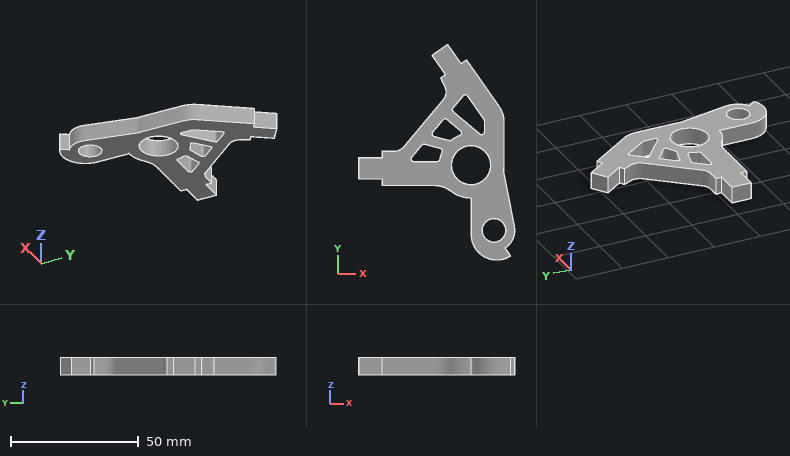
import cadquery as cq
import math

THICKNESS = 7.0

HUB_RADIUS = 12.9
BORE_RADIUS = 7.6

ARM_END = 44.05
ARM_SHOULDER = 34.8
LEFT_ARM_CENTER_Y = -1.3
LEFT_ARM_WIDTH = 13.5
LEFT_TAB_WIDTH = 8.45

UPPER_ARM_ANGLE = 125.0
UPPER_SIDE_ANGLE = UPPER_ARM_ANGLE - 90
UPPER_ARM_INNER = 9.8
UPPER_ARM_OUTER = 22.2
UPPER_TAB_INNER = 12.1
UPPER_TAB_OUTER = 19.6
UPPER_INNER_EDGE_ANGLE = 25.0

WEB_NORMAL_ANGLE = 140.0
WEB_OFFSET = 24.9
WEB_RIM = 5.1

PIVOT = (9.0, -25.5)
PIVOT_HOLE_RADIUS = 4.6
PIVOT_RIM_RADIUS = 8.2
HOOK_RADIUS = 10.0
HOOK_CENTER = (HOOK_RADIUS, -27.2)
HOOK_END_ANGLE = -57.0
HOOK_END_RADIUS = 12.0
LOBE_EDGE_START_ANGLE = -10.0

WEB_FILLET = 4.65
UPPER_BEND_FILLET = 10.0
LEFT_HUB_FILLET = 10.0
LOBE_EDGE_FILLET = 5.1

WINDOW_HUB_RADIUS = 12.5
WINDOW_FILLET = 1.0
WINDOW_BOTTOM = 1.4
WINDOW_RIGHT = 5.2
WINDOW_ARM_OFFSET = 14.4
RIB_WIDTH = 4.0
LOWER_RIB_NORMAL_ANGLE = 75.0
LOWER_RIB_OFFSET = 3.17
UPPER_RIB_NORMAL_ANGLE = 50.0
UPPER_RIB_OFFSET = 7.6


def polar(radius, degrees, center=(0, 0)):
    """Point at a radius and angle from a center."""
    angle = math.radians(degrees)
    return (center[0] + radius * math.cos(angle), center[1] + radius * math.sin(angle))


def cross_point(first, second):
    """Meeting point of two lines, each given as (normal angle, distance from origin)."""
    (a, p), (b, q) = first, second
    a, b = math.radians(a), math.radians(b)
    det = math.sin(b - a)
    return (
        (p * math.sin(b) - q * math.sin(a)) / det,
        (q * math.cos(a) - p * math.cos(b)) / det,
    )


def line_through(point, normal_angle):
    """Line with the given normal angle passing through a point."""
    angle = math.radians(normal_angle)
    return (normal_angle, point[0] * math.cos(angle) + point[1] * math.sin(angle))


def upper_arm_point(distance, side):
    """Point at a distance along the upper arm and an offset to its outer side."""
    return polar(side, UPPER_SIDE_ANGLE, polar(distance, UPPER_ARM_ANGLE))


left_top = LEFT_ARM_CENTER_Y + LEFT_ARM_WIDTH / 2
left_bottom = LEFT_ARM_CENTER_Y - LEFT_ARM_WIDTH / 2
tab_top = LEFT_ARM_CENTER_Y + LEFT_TAB_WIDTH / 2
tab_bottom = LEFT_ARM_CENTER_Y - LEFT_TAB_WIDTH / 2

web_line = (WEB_NORMAL_ANGLE, WEB_OFFSET)
upper_inner_corner = upper_arm_point(ARM_SHOULDER, UPPER_ARM_INNER)
web_left = cross_point(web_line, (90, left_top))
web_upper = cross_point(web_line, line_through(upper_inner_corner, UPPER_INNER_EDGE_ANGLE))
upper_bend = cross_point((UPPER_SIDE_ANGLE, UPPER_ARM_OUTER), (0, HUB_RADIUS))
left_hub_angle = math.degrees(math.asin(left_bottom / HUB_RADIUS))
left_hub = polar(HUB_RADIUS, 180 - left_hub_angle)
lobe_edge_start = polar(HUB_RADIUS, LOBE_EDGE_START_ANGLE)

dx = lobe_edge_start[0] - PIVOT[0]
dy = lobe_edge_start[1] - PIVOT[1]
rim_start_angle = math.degrees(math.atan2(dy, dx) - math.acos(PIVOT_RIM_RADIUS / math.hypot(dx, dy)))
rim_middle_angle = (rim_start_angle + HOOK_END_ANGLE) / 2


def build_plate():
    outline = (
        cq.Workplane("XY")
        .moveTo(-ARM_END, tab_bottom)
        .lineTo(-ARM_END, tab_top)
        .lineTo(-ARM_SHOULDER, tab_top)
        .lineTo(-ARM_SHOULDER, left_top)
        .lineTo(*web_left)
        .lineTo(*web_upper)
        .lineTo(*upper_inner_corner)
        .lineTo(*upper_arm_point(ARM_SHOULDER, UPPER_TAB_INNER))
        .lineTo(*upper_arm_point(ARM_END, UPPER_TAB_INNER))
        .lineTo(*upper_arm_point(ARM_END, UPPER_TAB_OUTER))
        .lineTo(*upper_arm_point(ARM_SHOULDER, UPPER_TAB_OUTER))
        .lineTo(*upper_arm_point(ARM_SHOULDER, UPPER_ARM_OUTER))
        .lineTo(*upper_bend)
        .lineTo(HUB_RADIUS, 0)
        .threePointArc(polar(HUB_RADIUS, LOBE_EDGE_START_ANGLE / 2), lobe_edge_start)
        .lineTo(*polar(PIVOT_RIM_RADIUS, rim_start_angle, PIVOT))
        .threePointArc(
            polar(PIVOT_RIM_RADIUS, rim_middle_angle, PIVOT),
            polar(PIVOT_RIM_RADIUS, HOOK_END_ANGLE, PIVOT),
        )
        .lineTo(*polar(HOOK_END_RADIUS, HOOK_END_ANGLE, PIVOT))
        .threePointArc(polar(HOOK_RADIUS, -90, HOOK_CENTER), polar(HOOK_RADIUS, 180, HOOK_CENTER))
        .lineTo(0, -HUB_RADIUS)
        .threePointArc(polar(HUB_RADIUS, (180 - left_hub_angle + 270) / 2), left_hub)
        .lineTo(-ARM_SHOULDER, left_bottom)
        .lineTo(-ARM_SHOULDER, tab_bottom)
        .close()
    )
    plate = outline.extrude(THICKNESS)
    rounded_corners = [
        (web_left, WEB_FILLET),
        (web_upper, WEB_FILLET),
        (upper_bend, UPPER_BEND_FILLET),
        (left_hub, LEFT_HUB_FILLET),
        (lobe_edge_start, LOBE_EDGE_FILLET),
    ]
    for (x, y), radius in rounded_corners:
        corner = cq.NearestToPointSelector((x, y, THICKNESS / 2))
        plate = plate.edges("|Z").edges(corner).fillet(radius)
    return plate


def window(lines):
    """Prism bounded by a closed loop of lines."""
    corners = [cross_point(lines[i - 1], lines[i]) for i in range(len(lines))]
    return cq.Workplane("XY").polyline(corners).close().extrude(THICKNESS)


def build_windows():
    """Three rounded windows separated by two ribs; the lower two follow the hub."""
    rim_line = (WEB_NORMAL_ANGLE, WEB_OFFSET - WEB_RIM)
    bottom_line = (90, WINDOW_BOTTOM)
    lower_rib_bottom = (LOWER_RIB_NORMAL_ANGLE, LOWER_RIB_OFFSET)
    lower_rib_top = (LOWER_RIB_NORMAL_ANGLE, LOWER_RIB_OFFSET + RIB_WIDTH)
    upper_rib_bottom = (UPPER_RIB_NORMAL_ANGLE, UPPER_RIB_OFFSET)
    upper_rib_top = (UPPER_RIB_NORMAL_ANGLE, UPPER_RIB_OFFSET + RIB_WIDTH)
    arm_line = (UPPER_SIDE_ANGLE, WINDOW_ARM_OFFSET)
    right_line = (0, WINDOW_RIGHT)

    hub = cq.Workplane("XY").circle(WINDOW_HUB_RADIUS).extrude(THICKNESS)
    windows = [
        window([rim_line, lower_rib_bottom, bottom_line]).cut(hub),
        window([rim_line, upper_rib_bottom, lower_rib_top]).cut(hub),
        window([rim_line, arm_line, right_line, upper_rib_top]),
    ]
    return [shape.edges("|Z").fillet(WINDOW_FILLET) for shape in windows]


def round_hole(center, radius):
    return cq.Workplane("XY").center(*center).circle(radius).extrude(THICKNESS)


result = build_plate()
result = result.cut(round_hole((0, 0), BORE_RADIUS))
result = result.cut(round_hole(PIVOT, PIVOT_HOLE_RADIUS))
for opening in build_windows():
    result = result.cut(opening)